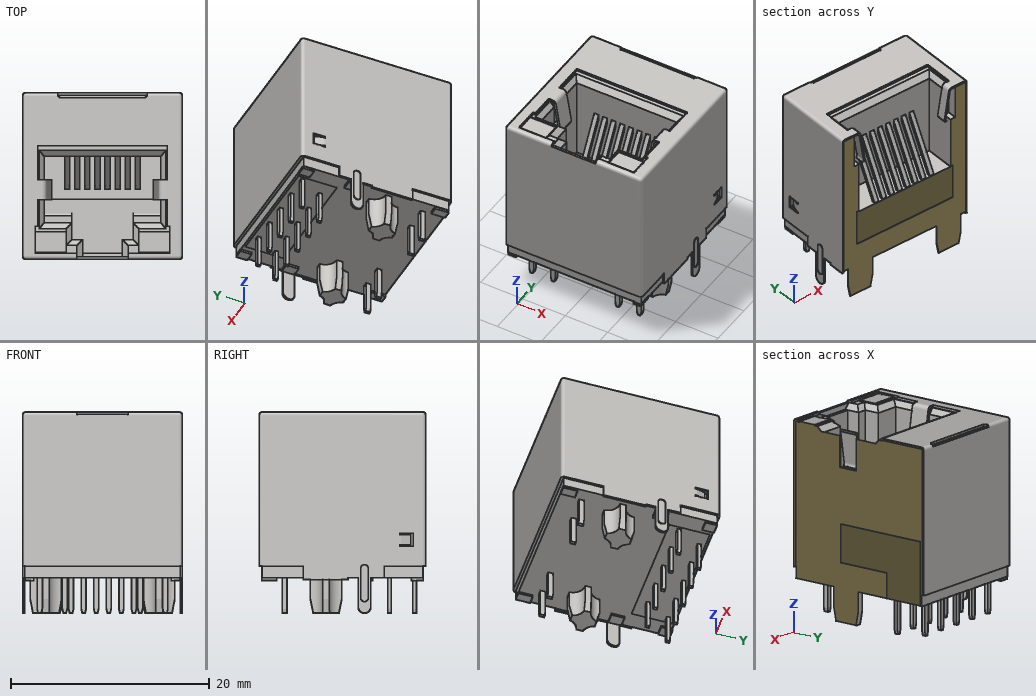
import cadquery as cq
import math


SHIELD_X = 16.14
SHIELD_Y = 16.84
SHIELD_TOP = 17.03
SHIELD_BOTTOM = 1.45
TIP_Z = -3.3

SIDE_WALL = 0.2
END_WALL = 0.28
TOP_WALL = 0.25
SHIELD_RADIUS = 0.35
INNER_X = SHIELD_X - 2 * SIDE_WALL
INNER_Y = SHIELD_Y - 2 * END_WALL
INNER_TOP = SHIELD_TOP - TOP_WALL

OPENING_HALF_X = 6.52
OPENING_BACK = 3.03
PAD_OPENING_HALF_X = 6.77
PAD_OPENING_BACK = -5.05
OPENING_FRONT = -7.78
REAR_NOTCH_HALF_X = 4.5
REAR_NOTCH_FRONT = 7.9
REAR_NOTCH_CHAMFER = 0.2

SKIRT_BACK = 4.19
SKIRT_STEP = 0.56
SKIRT_FRONT = -3.97
SKIRT_LOW_Z = 0.08

TANG_Y = 2.22
TANG_WIDTH = 1.3
TANG_GROOVE_WIDTH = 0.76
TANG_GROOVE_TOP = 1.6
TANG_GROOVE_BOTTOM = -2.13
TANG_GROOVE_DEPTH = 0.05

SPRING_FRONT = -2.42
SPRING_BACK = -0.37
SPRING_BEND_X = 6.15
SPRING_BEND_RADIUS = 0.5
SPRING_BEND_ANGLE = 80.5
SPRING_KINK_Z = 13.4
SPRING_END_Z = 13.0
SPRING_KICK_OUT = 0.1

WINDOW_FRONT = 5.79
WINDOW_BACK = 7.13
WINDOW_BOTTOM = 3.46
WINDOW_TOP = 4.77
LANCE_FRONT = 5.92
LANCE_BACK = 6.87
LANCE_CLEARANCE = 0.13
LANCE_DEPTH = 0.3

HOUSING_TOP = INNER_TOP
HOUSING_BOTTOM = 0.26
CAVITY_FLOOR = 7.0
CAVITY_HALF_X = 5.9
CAVITY_BACK = 1.98
CAVITY_LEDGE_Y = -4.72
KEYWAY_HALF_X = 3.08
KEYWAY_LEDGE_Y = -6.41
SLOT_HALF_X = 1.99
CAVITY_FRONT = -7.78
BEVEL = 0.6
BEVEL_SIDE = 0.47
BEVEL_HEIGHT = 0.6
BEVEL_FRONT = -INNER_Y / 2

STOP_BACK = -3.78
STOP_RADIUS = 0.29
STOP_ARC = 60

PAD_HEIGHT = 0.1
PAD_FRONT = -7.68
PAD_BACK = -5.65
PAD_INNER_X = KEYWAY_HALF_X + BEVEL

POST_X = 5.715
POST_Y = -1.66
POST_RADIUS = 1.6
POST_TIP_RADIUS = 1.31
POST_RIB = 0.64
POST_TAPER_Z = -1.87

FOOT_OUTER_X = 7.8
FRONT_FOOT_INNER_X = 6.92
REAR_FOOT_INNER_X = 6.76
FOOT_SPANS = [
    (-8.17, -6.63, FRONT_FOOT_INNER_X),
    (1.65, 3.05, REAR_FOOT_INNER_X),
    (6.93, 8.17, REAR_FOOT_INNER_X),
]

PIN_PITCH = 1.27
PIN_WIDTH = 0.52
PIN_TIP_WIDTH = 0.3
PIN_TAPER_Z = -2.85
CONTACT_PIN_THICKNESS = 0.38
CONTACT_PIN_COUNT = 10
PIN_ROW_BACK = 7.28
PIN_ROW_FRONT = PIN_ROW_BACK - 2 * PIN_PITCH
LAMP_PIN_X = [3 * PIN_PITCH, 5 * PIN_PITCH]
LAMP_PIN_Y = -5.84

MODULE_HALF_X = 6.2
MODULE_FRONT = -2.33
MODULE_BACK = 7.9
MODULE_STEM_FRONT = 3.6
MODULE_PLATE_BOTTOM = 3.0
CONTACT_COUNT = 8
CONTACT_PITCH = 1.02
CONTACT_WIDTH = 0.52
CONTACT_FOOT_Y = -1.33
CONTACT_TOP_Z = 13.1
CONTACT_THICKNESS_Y = 0.35

SIDES = (-1, 1)


def block(x0, x1, y0, y1, z0, z1):
    """Box given by its limits along X, Y and Z."""
    size = (x1 - x0, y1 - y0, z1 - z0)
    return cq.Workplane().box(*size, centered=False).translate((x0, y0, z0))


def mirrored(shape, side):
    """The +X shape itself, or its mirror image on the -X side."""
    return shape if side > 0 else shape.mirror("YZ")


def centred_row(count, pitch):
    return [(i - (count - 1) / 2) * pitch for i in range(count)]


def solder_pin(x, y, thickness):
    """Flat pin whose lower end narrows in X."""
    half = PIN_WIDTH / 2
    half_tip = PIN_TIP_WIDTH / 2
    profile = [
        (x - half, HOUSING_BOTTOM), (x - half, PIN_TAPER_Z), (x - half_tip, TIP_Z),
        (x + half_tip, TIP_Z), (x + half, PIN_TAPER_Z), (x + half, HOUSING_BOTTOM),
    ]
    pin = cq.Workplane("XZ").polyline(profile).close().extrude(thickness / 2, both=True)
    return pin.translate((0, y, 0))



def module_envelope():
    """L-shaped block: plate under the cavity with a stem down to the pins."""
    profile = [
        (MODULE_FRONT, CAVITY_FLOOR), (MODULE_BACK, CAVITY_FLOOR),
        (MODULE_BACK, HOUSING_BOTTOM), (MODULE_STEM_FRONT, HOUSING_BOTTOM),
        (MODULE_STEM_FRONT, MODULE_PLATE_BOTTOM), (MODULE_FRONT, MODULE_PLATE_BOTTOM),
    ]
    return cq.Workplane("YZ").polyline(profile).close().extrude(MODULE_HALF_X, both=True)


def spring_contact(x):
    """Sloping wire from the cavity floor up to the back wall of the cavity."""
    slope = (CONTACT_TOP_Z - CAVITY_FLOOR) / (CAVITY_BACK - CONTACT_FOOT_Y)
    underside_top_z = CONTACT_TOP_Z - slope * CONTACT_THICKNESS_Y
    profile = [
        (CONTACT_FOOT_Y, CAVITY_FLOOR), (CAVITY_BACK, CONTACT_TOP_Z),
        (CAVITY_BACK, underside_top_z), (CONTACT_FOOT_Y + CONTACT_THICKNESS_Y, CAVITY_FLOOR),
    ]
    wire = cq.Workplane("YZ").polyline(profile).close().extrude(CONTACT_WIDTH / 2, both=True)
    return wire.translate((x, 0, 0))


def make_contact_module():
    module = module_envelope()
    for x in centred_row(CONTACT_COUNT, CONTACT_PITCH):
        module = module.union(spring_contact(x))
    for i, x in enumerate(centred_row(CONTACT_PIN_COUNT, PIN_PITCH)):
        row_y = PIN_ROW_BACK if i % 2 == 0 else PIN_ROW_FRONT
        module = module.union(solder_pin(x, row_y, CONTACT_PIN_THICKNESS))
    return module



def cavity_outline(z, front, grow=0.0, grow_side=0.0):
    """Plug outline with two ledges stepping in to the latch slot at the front."""
    right = [
        (CAVITY_HALF_X + grow_side, CAVITY_BACK + grow),
        (CAVITY_HALF_X + grow_side, CAVITY_LEDGE_Y - grow),
        (KEYWAY_HALF_X + grow, CAVITY_LEDGE_Y - grow),
        (KEYWAY_HALF_X + grow, KEYWAY_LEDGE_Y - grow),
        (SLOT_HALF_X + grow, KEYWAY_LEDGE_Y - grow),
        (SLOT_HALF_X + grow, front),
    ]
    left = [(-x, y) for x, y in reversed(right)]
    return cq.Workplane().workplane(offset=z).polyline(right + left).close()


def plug_cavity():
    shaft = cavity_outline(CAVITY_FLOOR, CAVITY_FRONT).extrude(HOUSING_TOP - CAVITY_FLOOR)
    lower = cavity_outline(HOUSING_TOP - BEVEL_HEIGHT, BEVEL_FRONT).val()
    upper = cavity_outline(HOUSING_TOP, BEVEL_FRONT, BEVEL, BEVEL_SIDE).val()
    return shaft.union(cq.Workplane(cq.Solid.makeLoft([lower, upper], True)))


def plug_stop():
    """Low step on the cavity floor against the front ledge, rising in a concave arc."""
    def arc_point(degrees):
        angle = math.radians(degrees)
        return (STOP_BACK - STOP_RADIUS * math.sin(angle),
                CAVITY_FLOOR + STOP_RADIUS * (1 - math.cos(angle)))

    crest = arc_point(STOP_ARC)
    profile = (cq.Workplane("YZ").workplane(offset=KEYWAY_HALF_X).moveTo(STOP_BACK, CAVITY_FLOOR)
               .threePointArc(arc_point(STOP_ARC / 2), crest)
               .lineTo(CAVITY_LEDGE_Y, crest[1]).lineTo(CAVITY_LEDGE_Y, CAVITY_FLOOR).close())
    return profile.extrude(CAVITY_HALF_X - KEYWAY_HALF_X)


def locating_post():
    """Cross-shaped peg with concave flanks and a tapered end."""
    rib = POST_RIB / 2
    flank_radius = POST_RADIUS - rib
    flank_mid = POST_RADIUS - flank_radius * math.sqrt(0.5)
    profile = cq.Workplane().workplane(offset=TIP_Z).moveTo(POST_RADIUS, -rib)
    for quarter in range(4):
        turn = math.radians(90 * quarter)

        def turned(x, y):
            return (x * math.cos(turn) - y * math.sin(turn), x * math.sin(turn) + y * math.cos(turn))

        profile = profile.lineTo(*turned(POST_RADIUS, rib))
        profile = profile.threePointArc(turned(flank_mid, flank_mid), turned(rib, POST_RADIUS))
    peg = profile.close().extrude(HOUSING_BOTTOM - TIP_Z)

    taper = (cq.Workplane().workplane(offset=TIP_Z).rect(2 * POST_TIP_RADIUS, 2 * POST_TIP_RADIUS)
             .workplane(offset=POST_TAPER_Z - TIP_Z).rect(2 * POST_RADIUS, 2 * POST_RADIUS)
             .loft(ruled=True))
    straight = block(-POST_RADIUS, POST_RADIUS, -POST_RADIUS, POST_RADIUS,
                     POST_TAPER_Z, HOUSING_BOTTOM)
    return peg.intersect(taper.union(straight)).translate((POST_X, POST_Y, 0))


def make_housing():
    housing = block(-INNER_X / 2, INNER_X / 2, -INNER_Y / 2, INNER_Y / 2,
                    HOUSING_BOTTOM, HOUSING_TOP)
    housing = housing.cut(plug_cavity())
    spring_pocket = block(CAVITY_HALF_X, OPENING_HALF_X, SPRING_FRONT, SPRING_BACK,
                          SPRING_END_Z, HOUSING_TOP)
    lance_pocket = block(INNER_X / 2 - LANCE_DEPTH, INNER_X / 2, WINDOW_FRONT, WINDOW_BACK,
                         WINDOW_BOTTOM, WINDOW_TOP)
    light_pad = block(PAD_INNER_X, PAD_OPENING_HALF_X, PAD_FRONT, PAD_BACK,
                      HOUSING_TOP, HOUSING_TOP + PAD_HEIGHT)
    for side in SIDES:
        housing = housing.cut(mirrored(spring_pocket, side)).cut(mirrored(lance_pocket, side))
        housing = housing.union(mirrored(light_pad, side)).union(mirrored(plug_stop(), side))
        housing = housing.union(mirrored(locating_post(), side))
        for y0, y1, inner_x in FOOT_SPANS:
            foot = block(inner_x, FOOT_OUTER_X, y0, y1, 0, HOUSING_BOTTOM)
            housing = housing.union(mirrored(foot, side))
        for x in LAMP_PIN_X:
            housing = housing.union(solder_pin(side * x, LAMP_PIN_Y, PIN_WIDTH))
    return housing.cut(module_envelope())



def shield_can():
    can = block(-SHIELD_X / 2, SHIELD_X / 2, -SHIELD_Y / 2, SHIELD_Y / 2, SHIELD_BOTTOM, SHIELD_TOP)
    can = can.edges("|Z or >Z").fillet(SHIELD_RADIUS)
    inside = block(-INNER_X / 2, INNER_X / 2, -INNER_Y / 2, INNER_Y / 2, SHIELD_BOTTOM, INNER_TOP)
    return can.cut(inside)


def top_openings():
    """Plug opening with its front notch, and the notch along the rear edge."""
    plug = block(-OPENING_HALF_X, OPENING_HALF_X, OPENING_FRONT, OPENING_BACK, INNER_TOP, SHIELD_TOP)
    pads = block(-PAD_OPENING_HALF_X, PAD_OPENING_HALF_X, OPENING_FRONT, PAD_OPENING_BACK,
                 INNER_TOP, SHIELD_TOP)
    slot_half_x = SLOT_HALF_X + BEVEL
    front = block(-slot_half_x, slot_half_x, -SHIELD_Y / 2, OPENING_FRONT, INNER_TOP, SHIELD_TOP)
    rear = block(-REAR_NOTCH_HALF_X, REAR_NOTCH_HALF_X, REAR_NOTCH_FRONT, SHIELD_Y / 2,
                 INNER_TOP, SHIELD_TOP)
    rear = rear.edges("|Z and <Y").chamfer(REAR_NOTCH_CHAMFER)
    return plug.union(pads).union(front).union(rear)


def side_skirt():
    """Stepped lower edge of the +X wall with its grounding tang."""
    wall_plane = cq.Workplane("YZ").workplane(offset=INNER_X / 2)
    profile = [
        (SKIRT_BACK, SHIELD_BOTTOM), (SKIRT_BACK, HOUSING_BOTTOM), (SKIRT_STEP, HOUSING_BOTTOM),
        (SKIRT_STEP, SKIRT_LOW_Z), (SKIRT_FRONT, SKIRT_LOW_Z), (SKIRT_FRONT, SHIELD_BOTTOM),
    ]
    skirt = wall_plane.polyline(profile).close().extrude(SIDE_WALL)
    half = TANG_WIDTH / 2
    tang = (wall_plane.moveTo(TANG_Y - half, SHIELD_BOTTOM).lineTo(TANG_Y - half, TIP_Z + half)
            .threePointArc((TANG_Y, TIP_Z), (TANG_Y + half, TIP_Z + half))
            .lineTo(TANG_Y + half, SHIELD_BOTTOM).close().extrude(SIDE_WALL))
    return skirt.union(tang)


def tang_groove():
    length = TANG_GROOVE_TOP - TANG_GROOVE_BOTTOM
    middle_z = (TANG_GROOVE_TOP + TANG_GROOVE_BOTTOM) / 2
    return (cq.Workplane("YZ").workplane(offset=SHIELD_X / 2 - TANG_GROOVE_DEPTH)
            .center(TANG_Y, middle_z).slot2D(length, TANG_GROOVE_WIDTH, 90).extrude(TANG_GROOVE_DEPTH))


def plug_spring():
    """Tongue bent down from the +X edge of the opening into the cavity."""
    def bend_point(radius, degrees):
        angle = math.radians(90 + degrees)
        return (SPRING_BEND_X + radius * math.cos(angle),
                SHIELD_TOP - SPRING_BEND_RADIUS + radius * math.sin(angle))

    outer = SPRING_BEND_RADIUS
    inner = SPRING_BEND_RADIUS - TOP_WALL
    half_bend = SPRING_BEND_ANGLE / 2
    outer_end = bend_point(outer, SPRING_BEND_ANGLE)
    inner_end = bend_point(inner, SPRING_BEND_ANGLE)
    drift = (outer_end[1] - SPRING_KINK_Z) / math.tan(math.radians(SPRING_BEND_ANGLE))
    kink_x = outer_end[0] - drift
    curl_mid_z = (SPRING_KINK_Z + SPRING_END_Z) / 2
    thickness_x = TOP_WALL / math.sin(math.radians(SPRING_BEND_ANGLE))
    profile = (
        cq.Workplane("XZ").moveTo(OPENING_HALF_X, SHIELD_TOP).lineTo(SPRING_BEND_X, SHIELD_TOP)
        .threePointArc(bend_point(outer, half_bend), outer_end)
        .lineTo(kink_x, SPRING_KINK_Z)
        .threePointArc((kink_x, curl_mid_z), (kink_x + SPRING_KICK_OUT, SPRING_END_Z))
        .lineTo(kink_x + SPRING_KICK_OUT + thickness_x, SPRING_END_Z)
        .threePointArc((kink_x + thickness_x, curl_mid_z), (kink_x + thickness_x, SPRING_KINK_Z))
        .lineTo(*inner_end)
        .threePointArc(bend_point(inner, half_bend), (SPRING_BEND_X, INNER_TOP))
        .lineTo(OPENING_HALF_X, INNER_TOP).close()
    )
    return profile.extrude(SPRING_BACK - SPRING_FRONT).translate((0, SPRING_BACK, 0))


def latch_window():
    return block(INNER_X / 2, SHIELD_X / 2, WINDOW_FRONT, WINDOW_BACK, WINDOW_BOTTOM, WINDOW_TOP)


def lanced_latch():
    """Small tongue left in the window, bent inwards along its front edge."""
    outside = SHIELD_X / 2
    inside = INNER_X / 2
    profile = [
        (outside, WINDOW_FRONT), (outside, LANCE_FRONT), (outside - LANCE_DEPTH, LANCE_BACK),
        (inside - LANCE_DEPTH, LANCE_BACK), (inside, LANCE_FRONT), (inside, WINDOW_FRONT),
    ]
    height = WINDOW_TOP - WINDOW_BOTTOM - 2 * LANCE_CLEARANCE
    latch = cq.Workplane("XY").polyline(profile).close().extrude(height)
    return latch.translate((0, 0, WINDOW_BOTTOM + LANCE_CLEARANCE))


def make_shield():
    shield = shield_can().cut(top_openings())
    for side in SIDES:
        shield = shield.union(mirrored(side_skirt(), side))
        shield = shield.cut(mirrored(tang_groove(), side))
        shield = shield.union(mirrored(plug_spring(), side))
        shield = shield.cut(mirrored(latch_window(), side))
        shield = shield.union(mirrored(lanced_latch(), side))
    return shield


contact_module = make_contact_module()
housing = make_housing()
shield = make_shield()
result = cq.Compound.makeCompound([shield.val(), housing.val(), contact_module.val()])